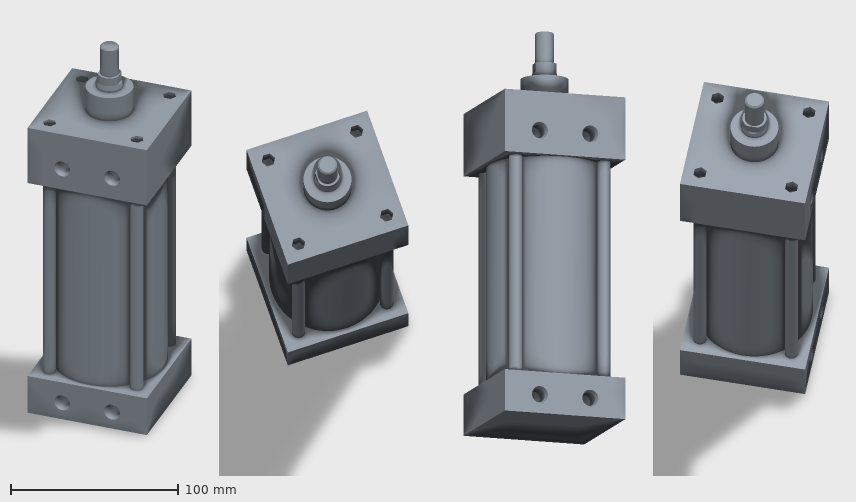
import cadquery as cq
import math

BLOCK_SIDE = 76.3
BASE_HEIGHT = 25.3
TUBE_LENGTH = 133.5
HEAD_HEIGHT = 38.1
BOSS_HEIGHT = 16.0
OVERALL_HEIGHT = 241.3

TUBE_DIAMETER = 70.0

TIE_ROD_PITCH = 55.7
TIE_ROD_DIAMETER = 8.0
ROD_HEAD_DIAMETER = 13.0
ROD_HEAD_HEIGHT = 14.5
SOCKET_WIDTH = 7.2
SOCKET_DEPTH = 9.7

GLAND_DIAMETER = 47.5
BOSS_DIAMETER = 28.7

ROD_DIAMETER = 16.0
ROD_PROUD_LENGTH = 1.2
TAPER_LENGTH = 3.0
NECK_DIAMETER = 14.5
NECK_LENGTH = 5.3
TIP_DIAMETER = 11.5
TIP_CHAMFER = 1.0
WRENCH_WIDTH = 13.0

PORT_PITCH = 31.9
PORT_DIAMETER = 8.2
PORT_DEPTH = 12.0
PORT_MOUTH_DIAMETER = 10.1
PORT_MOUTH_DEPTH = 3.1
BASE_PORT_HEIGHT = 11.3
HEAD_PORT_HEIGHT = 14.2

DRILL_POINT_ANGLE = 118

HEAD_BOTTOM = BASE_HEIGHT + TUBE_LENGTH
HEAD_TOP = HEAD_BOTTOM + HEAD_HEIGHT
BOSS_TOP = HEAD_TOP + BOSS_HEIGHT
TAPER_BOTTOM = BOSS_TOP + ROD_PROUD_LENGTH
NECK_BOTTOM = TAPER_BOTTOM + TAPER_LENGTH
NECK_TOP = NECK_BOTTOM + NECK_LENGTH
ROD_HEAD_BOTTOM = HEAD_TOP - ROD_HEAD_HEIGHT

TIE_ROD_PLACES = [
    (x_side * TIE_ROD_PITCH / 2, y_side * TIE_ROD_PITCH / 2)
    for x_side in (-1, 1)
    for y_side in (-1, 1)
]


def cylinder(diameter, bottom, top, place=(0, 0)):
    """Upright cylinder between two levels, centred on an XY place."""
    return (
        cq.Workplane("XY", origin=(*place, bottom))
        .circle(diameter / 2)
        .extrude(top - bottom)
    )


def square_block(bottom, top):
    """Square end block between two levels, centred on the axis."""
    return (
        cq.Workplane("XY", origin=(0, 0, bottom))
        .rect(BLOCK_SIDE, BLOCK_SIDE)
        .extrude(top - bottom)
    )


def drilled_hole(diameter, depth):
    """Cutter for a blind hole with a drill point, going down from the origin."""
    radius = diameter / 2
    point_length = radius / math.tan(math.radians(DRILL_POINT_ANGLE / 2))
    return (
        cq.Workplane("XZ")
        .polyline([(0, 0), (radius, 0), (radius, -depth), (0, -depth - point_length)])
        .close()
        .revolve(360, (0, 0, 0), (0, 1, 0))
    )


def port_cutter():
    """Cutter for a port with a tapered mouth, going down from the origin."""
    mouth = cq.Workplane("XY").add(
        cq.Solid.makeCone(
            PORT_MOUTH_DIAMETER / 2, PORT_DIAMETER / 2, PORT_MOUTH_DEPTH, dir=cq.Vector(0, 0, -1)
        )
    )
    return drilled_hole(PORT_DIAMETER, PORT_DEPTH).union(mouth)


def cut_ports(block, height):
    """Cut a pair of ports into the front (-Y) face of a block."""
    port = port_cutter().rotate((0, 0, 0), (1, 0, 0), 90)
    for side in (-1, 1):
        block = block.cut(port.translate((side * PORT_PITCH / 2, -BLOCK_SIDE / 2, height)))
    return block


def socket_cutter():
    """Cutter for a hexagon socket with two corners on X and a drill point."""
    width_over_corners = SOCKET_WIDTH / math.cos(math.radians(30))
    hexagon = cq.Workplane("XY").polygon(6, width_over_corners).extrude(-SOCKET_DEPTH)
    drill = drilled_hole(SOCKET_WIDTH, SOCKET_DEPTH)
    return hexagon.union(drill)


def tie_rod(place):
    """Tie rod with its socket head, flush with the top of the head block, at one corner."""
    shank = cylinder(TIE_ROD_DIAMETER, BASE_HEIGHT, ROD_HEAD_BOTTOM, place)
    rod_head = cylinder(ROD_HEAD_DIAMETER, ROD_HEAD_BOTTOM, HEAD_TOP, place)
    return shank.union(rod_head).cut(socket_cutter().translate((*place, HEAD_TOP)))


def make_barrel():
    """Base block carrying the tube and the four tie rods."""
    barrel = cut_ports(square_block(0, BASE_HEIGHT), BASE_PORT_HEIGHT)
    barrel = barrel.union(cylinder(TUBE_DIAMETER, BASE_HEIGHT, HEAD_BOTTOM))
    for place in TIE_ROD_PLACES:
        barrel = barrel.union(tie_rod(place))
    return barrel


def make_head():
    """Head block with the gland bore and counterbored tie rod holes."""
    head = cut_ports(square_block(HEAD_BOTTOM, HEAD_TOP), HEAD_BOTTOM + HEAD_PORT_HEIGHT)
    head = head.cut(cylinder(GLAND_DIAMETER, HEAD_BOTTOM, HEAD_TOP))
    for place in TIE_ROD_PLACES:
        head = head.cut(cylinder(TIE_ROD_DIAMETER, HEAD_BOTTOM, HEAD_TOP, place))
        head = head.cut(cylinder(ROD_HEAD_DIAMETER, ROD_HEAD_BOTTOM, HEAD_TOP, place))
    return head


def make_gland():
    """Round insert filling the head bore, with a boss and a through hole for the rod."""
    insert = cylinder(GLAND_DIAMETER, HEAD_BOTTOM, HEAD_TOP)
    boss = cylinder(BOSS_DIAMETER, HEAD_TOP, BOSS_TOP)
    return insert.union(boss).cut(cylinder(ROD_DIAMETER, HEAD_BOTTOM, BOSS_TOP))


def wrench_flat_cutter():
    """Cutter for the flat on the +X side: a vertical face with a 45 degree run-out below."""
    flat = WRENCH_WIDTH / 2
    outside = ROD_DIAMETER / 2
    return (
        cq.Workplane("XZ")
        .polyline([
            (flat, NECK_TOP),
            (flat, NECK_BOTTOM),
            (outside, NECK_BOTTOM - (outside - flat)),
            (outside, NECK_TOP),
        ])
        .close()
        .extrude(ROD_DIAMETER / 2, both=True)
    )


def make_piston_rod():
    """Rod tapering to a neck with two wrench flats and a slimmer chamfered tip."""
    rod_radius = ROD_DIAMETER / 2
    neck_radius = NECK_DIAMETER / 2
    tip_radius = TIP_DIAMETER / 2
    rod = (
        cq.Workplane("XZ")
        .polyline([
            (0, HEAD_BOTTOM),
            (rod_radius, HEAD_BOTTOM),
            (rod_radius, TAPER_BOTTOM),
            (neck_radius, NECK_BOTTOM),
            (neck_radius, NECK_TOP),
            (tip_radius, NECK_TOP),
            (tip_radius, OVERALL_HEIGHT - TIP_CHAMFER),
            (tip_radius - TIP_CHAMFER, OVERALL_HEIGHT),
            (0, OVERALL_HEIGHT),
        ])
        .close()
        .revolve(360, (0, 0, 0), (0, 1, 0))
    )
    cutter = wrench_flat_cutter()
    return rod.cut(cutter).cut(cutter.mirror("YZ"))


barrel = make_barrel()
head = make_head()
gland = make_gland()
piston_rod = make_piston_rod()

result = cq.Compound.makeCompound([
    barrel.val(),
    head.val(),
    gland.val(),
    piston_rod.val(),
])